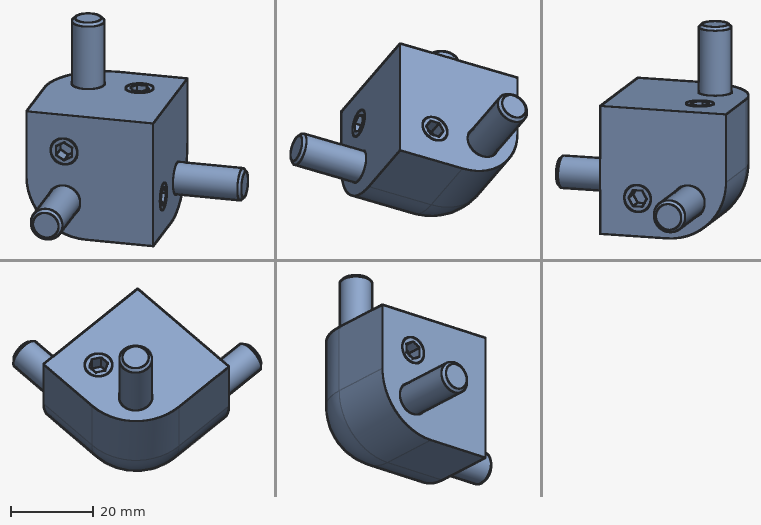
import cadquery as cq
import math


overall = 49.0
block_size = 32.0
corner_radius = 15.0

pin_diameter = 8.0
pin_chamfer = 0.8
pin_reach = overall - block_size
pin_embed = pin_reach

screw_diameter = 6.6
screw_spacing = 13.0
socket_width = 4.0
socket_depth = 4.0

fit_clearance = 0.2

axis_inset = 9.5
hub_to_face = block_size - axis_inset
hub = cq.Vector(axis_inset, -axis_inset, axis_inset)

pin_radius = pin_diameter / 2
pin_bore_radius = (pin_diameter + fit_clearance) / 2
screw_radius = screw_diameter / 2
screw_bore_radius = (screw_diameter + fit_clearance) / 2
screw_length = hub_to_face - pin_radius
socket_across_corners = socket_width / math.cos(math.pi / 6)

along_x = cq.Vector(1, 0, 0)
along_y = cq.Vector(0, -1, 0)
along_z = cq.Vector(0, 0, 1)

stations = [(along_x, along_z), (along_z, along_y), (along_y, along_x)]


def pin_entry(pin_direction):
    """Plane on the block face where a pin comes out, facing outward."""
    return cq.Plane(hub + pin_direction * hub_to_face, normal=pin_direction)


def screw_entry(pin_direction, screw_direction):
    """Plane on the block face at a screw head, with local X along the clamped pin."""
    head = hub + pin_direction * screw_spacing + screw_direction * hub_to_face
    return cq.Plane(head, xDir=pin_direction, normal=screw_direction)


def make_block():
    """Cube with the three edges at its -X, +Y, -Z corner rounded, and all bores cut."""
    block = (
        cq.Workplane("XY")
        .box(block_size, block_size, block_size, centered=False)
        .translate((0, -block_size, 0))
        .edges("(<X and >Y) or (<X and <Z) or (>Y and <Z)")
        .fillet(corner_radius)
    )
    for pin_direction, screw_direction in stations:
        pin_bore = cq.Workplane(pin_entry(pin_direction)).circle(pin_bore_radius).extrude(-pin_embed)
        screw_bore = (
            cq.Workplane(screw_entry(pin_direction, screw_direction))
            .circle(screw_bore_radius)
            .extrude(-hub_to_face)
        )
        block = block.cut(pin_bore).cut(screw_bore)
    return block


def make_pin(pin_direction):
    """Round pin, half inside the block, with a chamfered outer end."""
    return (
        cq.Workplane(pin_entry(pin_direction))
        .workplane(offset=-pin_embed)
        .circle(pin_radius)
        .extrude(pin_embed + pin_reach)
        .faces(cq.selectors.DirectionMinMaxSelector(pin_direction))
        .chamfer(pin_chamfer)
    )


def make_set_screw(pin_direction, screw_direction):
    """Headless screw, flush with the block, with a hexagon socket."""
    entry = screw_entry(pin_direction, screw_direction)
    body = cq.Workplane(entry).circle(screw_radius).extrude(-screw_length)
    socket = cq.Workplane(entry).polygon(6, socket_across_corners).extrude(-socket_depth)
    return body.cut(socket)


block = make_block()
pins = [make_pin(pin_direction) for pin_direction, _ in stations]
set_screws = [make_set_screw(*station) for station in stations]

bodies = [block, *pins, *set_screws]
result = cq.Compound.makeCompound([body.val() for body in bodies])